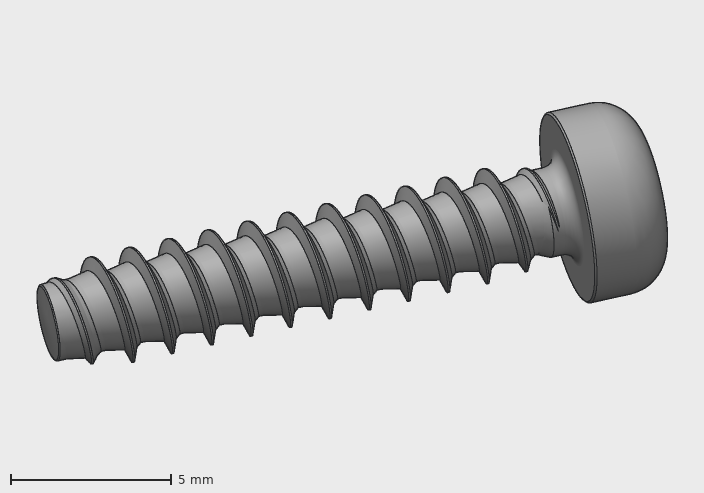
import cadquery as cq
import math

total_length = 19.69

head_radius = 3.05
head_height = 2.7
dome_radius = 1.32
head_edge_chamfer = 0.05

neck_radius = 1.4
neck_length = 0.85
neck_fillet = 0.47
neck_taper_length = 0.4

core_radius = 1.22
tip_radius = 1.18
tip_chamfer = 0.04
tip_cone_height = 0.05
shank_length = total_length - head_height

crest_radius = 1.77
crest_start_radius = 1.38
crest_width = 0.05
pitch = 12.84 / 10
first_crest_depth = 0.57
thread_start = -0.75
run_in_turns = 1.2
crest_run_out_turns = 1.45
ridge_run_out_turns = 1.0
thread_end = 12.75
panels_per_turn = 2
samples_per_panel = 8

head_foot = -0.4
head_shoulder = -0.22
tip_shoulder = 0.18
tip_foot = 0.87
shoulder_radius = 1.34
foot_radius = 1.2
buried_radius = 1.08
buried_inset = 0.1


def make_blank():
    """Head, neck and core as one revolved body."""
    crown_radius = head_radius - dome_radius
    arc_middle = dome_radius * math.sqrt(0.5)
    neck_arc_middle = neck_fillet * (1 - math.sqrt(0.5))
    return (
        cq.Workplane("XY")
        .moveTo(0, head_height)
        .lineTo(crown_radius, head_height)
        .threePointArc(
            (crown_radius + arc_middle, head_height - dome_radius + arc_middle),
            (head_radius, head_height - dome_radius),
        )
        .lineTo(head_radius, head_edge_chamfer)
        .lineTo(head_radius - head_edge_chamfer, 0)
        .lineTo(neck_radius + neck_fillet, 0)
        .threePointArc(
            (neck_radius + neck_arc_middle, -neck_arc_middle),
            (neck_radius, -neck_fillet),
        )
        .lineTo(neck_radius, -neck_length)
        .lineTo(core_radius, -neck_length - neck_taper_length)
        .lineTo(core_radius, -shank_length + tip_cone_height + tip_chamfer)
        .lineTo(tip_radius, -shank_length + tip_cone_height)
        .lineTo(0, -shank_length)
        .close()
        .revolve(360, (0, 0, 0), (0, 1, 0))
    )


def helix_point(turn, offset, radius):
    """Point on the thread helix, moved along the axis by offset toward the tip."""
    angle = 2 * math.pi * turn
    depth = first_crest_depth + pitch * turn + offset
    return cq.Vector(radius * math.cos(angle), -depth, radius * math.sin(angle))


def crest_height(turn):
    """Crest radius: grows out of the neck and fades into the core at the tip."""
    run_in = min(1, max(0, turn / run_in_turns))
    rising = crest_start_radius + (crest_radius - crest_start_radius) * run_in
    fade = max(0, 1 - (thread_end - turn) / crest_run_out_turns)
    return rising - (crest_radius - foot_radius) * fade


def shoulder_height(turn):
    """Ridge radius at the foot of the crest: constant, then fades into the core."""
    fade = max(0, 1 - (thread_end - turn) / ridge_run_out_turns)
    return shoulder_radius - (shoulder_radius - foot_radius) * fade


def thread_section(turn):
    """Closed (offset, radius) outline of the thread at a turn; its lowest side lies inside the core."""
    crest = crest_height(turn)
    shoulder = shoulder_height(turn)
    return [
        (head_foot + buried_inset, buried_radius),
        (head_foot, foot_radius),
        (head_shoulder, shoulder),
        (-crest_width / 2, crest),
        (crest_width / 2, crest),
        (tip_shoulder, shoulder),
        (tip_foot, foot_radius),
        (tip_foot - buried_inset, buried_radius),
    ]


def section_corners(turn):
    """Corners of the thread outline placed on the helix."""
    return [helix_point(turn, offset, radius) for offset, radius in thread_section(turn)]


def thread_panels(first_turn, last_turn):
    """Ruled faces joining neighbouring corners of the outline along one stretch of the helix."""
    step = (last_turn - first_turn) / samples_per_panel
    rings = [section_corners(first_turn + step * i) for i in range(samples_per_panel + 1)]
    edges = [cq.Edge.makeSpline(list(path)) for path in zip(*rings)]
    return [
        cq.Face.makeRuledSurface(edge, following)
        for edge, following in zip(edges, edges[1:] + edges[:1])
    ]


def make_thread():
    """Helical solid made of short panels, with a flat cap at each end."""
    panel_count = math.ceil((thread_end - thread_start) * panels_per_turn)
    step = (thread_end - thread_start) / panel_count
    faces = []
    for i in range(panel_count):
        faces += thread_panels(thread_start + step * i, thread_start + step * (i + 1))
    for turn in (thread_start, thread_end):
        outline = cq.Wire.makePolygon(section_corners(turn), close=True)
        faces.append(cq.Face.makeFromWires(outline))
    return cq.Workplane(cq.Solid.makeSolid(cq.Shell.makeShell(faces)))


def make_trim():
    """Cylinder that ends the thread just above the tip chamfer."""
    length = shank_length - tip_cone_height - tip_chamfer
    return cq.Workplane("XZ").circle(head_radius).extrude(length)


thread = make_thread().intersect(make_trim())
result = make_blank().union(thread)